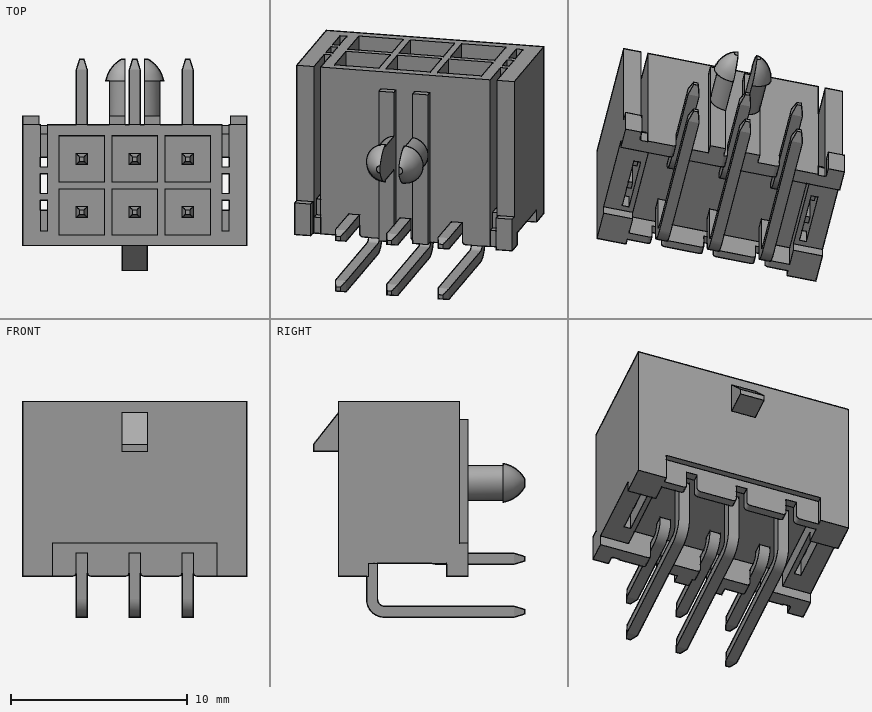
import cadquery as cq

PITCH = 3.0
COLUMNS = (-PITCH, 0, PITCH)
FRONT_ROW_Y = 1.9
REAR_ROW_Y = FRONT_ROW_Y + PITCH

PIN_WIDTH = 0.64
PIN_TIP_WIDTH = 0.25
PIN_TIP_LENGTH = 0.61
PIN_END_Y = 10.55
CONTACT_TOP_Z = 7.62
BEND_RADIUS = 0.7
FRONT_TAIL_Z = -2.01
REAR_TAIL_Z = FRONT_TAIL_Z + PITCH

LENGTH = 12.7
DEPTH = 6.86
HEIGHT = 9.89
CELL_SIZE = 2.59
CELL_FLOOR_Z = 2.54
CELL_LEDGE_DEPTH = 0.05
CELL_LEDGE_TOP_Z = 3.81

BASE_HEIGHT = 1.88
SKIRT_LENGTH = 9.32
SKIRT_FRONT_Y = 0.32
SKIRT_BACK_Y = 0.75
NOTCH_FRONT_Y = 1.7
NOTCH_BACK_Y = 6.12
NOTCH_HEIGHT = 0.72
PIN_SLOT_TOP_Z = REAR_TAIL_Z + PIN_WIDTH / 2
PIN_SLOT_ROUNDING = 0.22

BACK_PAD_Y = 7.34
FOOT_LENGTH = 0.94
RIB_TOP_Z = 8.88

END_SLOT_X = 5.14
END_SLOT_WIDTH = 0.4
FRONT_SLOT_Y = (0.83, 2.57)
MIDDLE_SLOT_Y = (2.96, 4.06)
REAR_SLOT_Y = (4.46, DEPTH)
END_OPENING_Y = (2.01, 4.99)
REAR_STEP_Y = (6.32, 6.81)
REAR_STEP_Z = 0.95

LATCH_WIDTH = 1.42
LATCH_REACH = 1.41
LATCH_TOP_Z = 9.26
LATCH_NOSE_Z = 7.47
LATCH_BOTTOM_Z = 7.07

PEG_Z = 5.28
PEG_GAP = 1.09
PEG_RADIUS = 1.0
PEG_AXIS_X = 0.43
BARB_Y = 9.32
BARB_RADIUS = 1.1
BARB_MIDDLE_RADIUS = 0.8
BARB_MIDDLE_LENGTH = 0.71
BARB_TIP_RADIUS = 0.22
RIB_OUTER_X = PEG_AXIS_X + PEG_RADIUS


def block(x_range, y_range, z_range):
    """Box between the given limits."""
    limits = (x_range, y_range, z_range)
    sizes = [high - low for low, high in limits]
    corner = tuple(low for low, high in limits)
    return cq.Workplane("XY").box(*sizes, centered=False).translate(corner)


def centred(length, middle=0.0):
    """Range of the given length about a middle value."""
    return (middle - length / 2, middle + length / 2)


def make_pin(x, row_y, tail_z):
    """Square bent pin: a contact pointing up and a tail pointing back, both with tapered ends."""
    contact_shoulder = CONTACT_TOP_Z - PIN_TIP_LENGTH
    tail_shoulder = PIN_END_Y - PIN_TIP_LENGTH
    path = (
        cq.Workplane("YZ", origin=(x, 0, 0))
        .moveTo(row_y, contact_shoulder)
        .lineTo(row_y, tail_z + BEND_RADIUS)
        .tangentArcPoint((row_y + BEND_RADIUS, tail_z), relative=False)
        .lineTo(tail_shoulder, tail_z)
    )
    contact_end = cq.Workplane("XY", origin=(x, row_y, contact_shoulder))
    tail_end = cq.Workplane(cq.Plane(origin=(x, tail_shoulder, tail_z), xDir=(1, 0, 0), normal=(0, 1, 0)))
    pin = contact_end.rect(PIN_WIDTH, PIN_WIDTH).sweep(path)
    for end in (contact_end, tail_end):
        tip = (
            end.rect(PIN_WIDTH, PIN_WIDTH)
            .workplane(offset=PIN_TIP_LENGTH)
            .rect(PIN_TIP_WIDTH, PIN_TIP_WIDTH)
            .loft()
        )
        pin = pin.union(tip)
    return pin


def make_cells():
    """Square contact cells open at the top; the rear row has a shallow ledge low on its back wall."""
    cells = cq.Workplane("XY")
    for x in COLUMNS:
        for row_y in (FRONT_ROW_Y, REAR_ROW_Y):
            cell_y = centred(CELL_SIZE, row_y)
            cells = cells.add(block(centred(CELL_SIZE, x), cell_y, (CELL_FLOOR_Z, HEIGHT)))
        upper_y = (cell_y[1], cell_y[1] + CELL_LEDGE_DEPTH)
        cells = cells.add(block(centred(CELL_SIZE, x), upper_y, (CELL_LEDGE_TOP_Z, HEIGHT)))
    return cells.combine()


def make_end_slots(side):
    """Three slots in a row, floored at both ends of the row and open through the middle."""
    slot_x = centred(END_SLOT_WIDTH, side * END_SLOT_X)
    slots = block(slot_x, END_OPENING_Y, (0, BASE_HEIGHT))
    slots = slots.union(block(slot_x, REAR_STEP_Y, (REAR_STEP_Z, BASE_HEIGHT)))
    slots = slots.union(block(slot_x, (REAR_STEP_Y[1], DEPTH), (0, BASE_HEIGHT)))
    for slot_y in (FRONT_SLOT_Y, MIDDLE_SLOT_Y, REAR_SLOT_Y):
        slots = slots.union(block(slot_x, slot_y, (BASE_HEIGHT, HEIGHT)))
    return slots


def make_pin_slot(x):
    """Slot from front to back in the underside, its mouth flared by rounded corners."""
    half = PIN_WIDTH / 2
    mouth = half + PIN_SLOT_ROUNDING
    return (
        cq.Workplane("XZ", origin=(x, 0, 0))
        .moveTo(-mouth, 0)
        .radiusArc((-half, PIN_SLOT_ROUNDING), -PIN_SLOT_ROUNDING)
        .lineTo(-half, PIN_SLOT_TOP_Z)
        .lineTo(half, PIN_SLOT_TOP_Z)
        .lineTo(half, PIN_SLOT_ROUNDING)
        .radiusArc((mouth, 0), -PIN_SLOT_ROUNDING)
        .close()
        .extrude(-DEPTH)
    )


def make_latch():
    """Ramp that the mating plug snaps over."""
    return (
        cq.Workplane("YZ")
        .polyline([
            (0, LATCH_TOP_Z),
            (-LATCH_REACH, LATCH_NOSE_Z),
            (-LATCH_REACH, LATCH_BOTTOM_Z),
            (0, LATCH_BOTTOM_Z),
        ])
        .close()
        .extrude(LATCH_WIDTH / 2, both=True)
    )


def make_peg_half():
    """Right half of the snap peg: a flat-sided shaft with a rounded barb, on its backing rib."""
    flat_x = PEG_GAP / 2
    barb_length = PIN_END_Y - BARB_Y
    shaft = (
        cq.Workplane("XZ", origin=(PEG_AXIS_X, DEPTH, PEG_Z))
        .circle(PEG_RADIUS)
        .extrude(DEPTH - BARB_Y)
    )
    barb = (
        cq.Workplane("XY", origin=(flat_x, BARB_Y, PEG_Z))
        .lineTo(BARB_RADIUS, 0)
        .threePointArc((BARB_MIDDLE_RADIUS, BARB_MIDDLE_LENGTH), (BARB_TIP_RADIUS, barb_length))
        .lineTo(0, barb_length)
        .close()
        .revolve(360, (0, 0, 0), (0, 1, 0))
    )
    right_side = block((flat_x, LENGTH / 2), (DEPTH, PIN_END_Y), (0, HEIGHT))
    rib = block((flat_x, RIB_OUTER_X), (DEPTH, BACK_PAD_Y), (0, RIB_TOP_Z))
    return shaft.union(barb).intersect(right_side).union(rib)


def make_housing(pins):
    housing = block(centred(LENGTH), (0, DEPTH), (0, HEIGHT))

    for side in (-1, 1):
        foot_x = centred(FOOT_LENGTH, side * (LENGTH - FOOT_LENGTH) / 2)
        housing = housing.union(block(foot_x, (DEPTH, BACK_PAD_Y), (0, BASE_HEIGHT)))

    base_z = (0, BASE_HEIGHT)
    housing = housing.cut(block(centred(SKIRT_LENGTH), (0, SKIRT_FRONT_Y), base_z))
    housing = housing.cut(block(centred(SKIRT_LENGTH), (SKIRT_BACK_Y, NOTCH_BACK_Y), base_z))
    housing = housing.cut(block(centred(LENGTH), (NOTCH_FRONT_Y, NOTCH_BACK_Y), (0, NOTCH_HEIGHT)))
    for x in COLUMNS:
        housing = housing.cut(make_pin_slot(x))

    housing = housing.cut(make_cells())
    for side in (-1, 1):
        housing = housing.cut(make_end_slots(side))

    peg_half = make_peg_half()
    housing = housing.union(make_latch()).union(peg_half).union(peg_half.mirror("YZ"))

    for pin in pins:
        housing = housing.cut(pin)
    return housing


pins = []
for column_x in COLUMNS:
    pins.append(make_pin(column_x, FRONT_ROW_Y, FRONT_TAIL_Z))
    pins.append(make_pin(column_x, REAR_ROW_Y, REAR_TAIL_Z))
housing = make_housing(pins)

result = cq.Compound.makeCompound([housing.val(), *[pin.val() for pin in pins]])